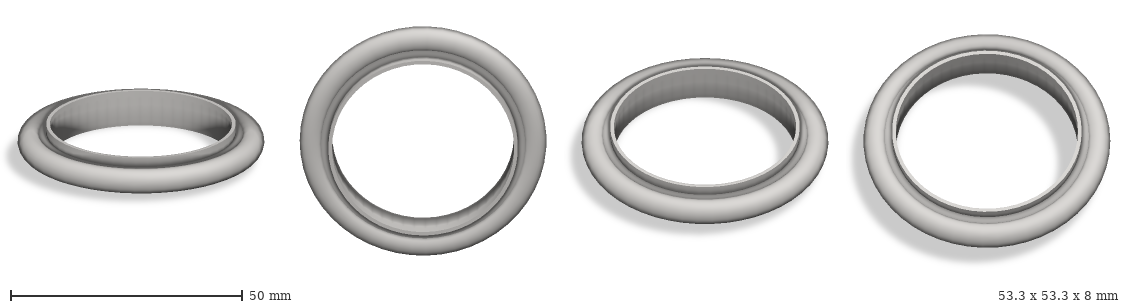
import cadquery as cq
import math

outer_diameter = 53.3
cord_diameter = 5.35
ring_height = 8.0
bore_diameter = 39.35
sleeve_diameter = 40.95
shoulder_height = 3.7

cord_radius = cord_diameter / 2
cord_center_radius = outer_diameter / 2 - cord_radius
bore_radius = bore_diameter / 2
sleeve_radius = sleeve_diameter / 2
half_height = ring_height / 2
half_shoulder = shoulder_height / 2
shoulder_radius = cord_center_radius - math.sqrt(cord_radius**2 - half_shoulder**2)
groove_bottom_radius = cord_center_radius - cord_radius


def make_centering_ring():
    """Sleeve with a central shoulder, grooved on its rim to fit the seal."""
    profile = (
        cq.Workplane("XZ")
        .moveTo(bore_radius, -half_height)
        .lineTo(sleeve_radius, -half_height)
        .lineTo(sleeve_radius, -half_shoulder)
        .lineTo(shoulder_radius, -half_shoulder)
        .threePointArc((groove_bottom_radius, 0), (shoulder_radius, half_shoulder))
        .lineTo(sleeve_radius, half_shoulder)
        .lineTo(sleeve_radius, half_height)
        .lineTo(bore_radius, half_height)
        .close()
    )
    return profile.revolve(360, (0, 0, 0), (0, 1, 0))


def make_seal():
    """O-ring of round section, seated in the groove of the centering ring."""
    section = cq.Workplane("XZ").center(cord_center_radius, 0).circle(cord_radius)
    return section.revolve(360, (-cord_center_radius, 0, 0), (-cord_center_radius, 1, 0))


centering_ring = make_centering_ring()
seal = make_seal()

result = cq.Compound.makeCompound([centering_ring.val(), seal.val()])